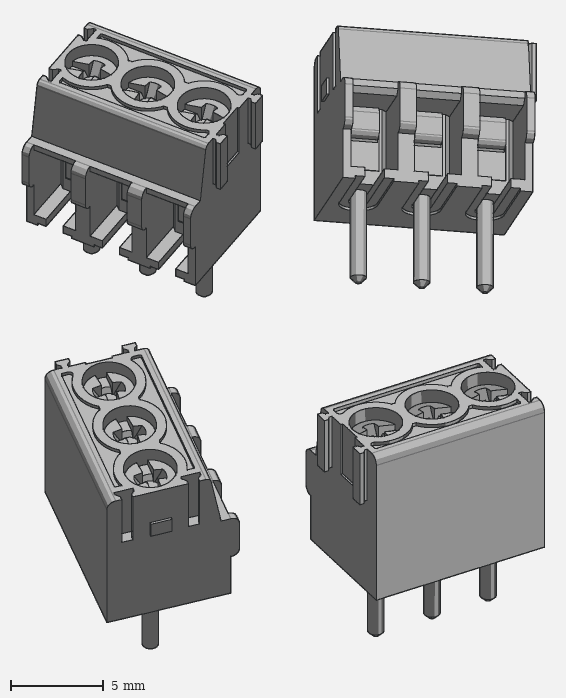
import cadquery as cq


POLE_COUNT = 3
WIDTH = 10.5
PITCH = WIDTH / POLE_COUNT
POLE_XS = [(i - (POLE_COUNT - 1) / 2) * PITCH for i in range(POLE_COUNT)]

HALF_WIDTH = WIDTH / 2
HEIGHT = 9.15
BACK_Y = 3.06
FRONT_Y = -3.99
TOP_FRONT_Y = -2.83
SHELF_Z = 5.69
SHELF_BACK_Y = -3.44
LIP_REACH = 0.5
LIP_FRONT_Y = FRONT_Y - LIP_REACH
LIP_BOTTOM_Z = 2.78
BACK_RADIUS = 0.5
FRONT_RADIUS = 0.3

ENTRY_WIDTH = 2.6
ENTRY_FLOOR_Z = 0.67
ENTRY_TOP_Z = 5.32
ENTRY_INNER_TOP_Z = 5.01
ENTRY_CHAMFER = ENTRY_TOP_Z - ENTRY_INNER_TOP_Z
ENTRY_BACK_Y = -1.36
ENTRY_BACK_WIDTH = 2.02
ENTRY_CORNER = (ENTRY_WIDTH - ENTRY_BACK_WIDTH) / 2

WINDOW_WIDTH = 1.69
WINDOW_BOTTOM_Z = 1.49
WINDOW_TOP_Z = 3.48
WINDOW_DEPTH = 0.05
GUARD_WIDTH = 1.53
GUARD_REACH = 0.4
GUARD_TOP_Z = 5.06
GUARD_BOTTOM_Z = 3.26
GUARD_TOE_HEIGHT = 0.14

PIN_DIAMETER = 0.9
PIN_LENGTH_BELOW = 4.5
PIN_BOTTOM_Z = -PIN_LENGTH_BELOW
PIN_TOP_Z = 1.23
PIN_CHAMFER = 0.3
PIN_SLOT_WIDTH = 1.06
FOOT_RECESS_WIDTH = 2.12
FOOT_RECESS_HEIGHT = 0.15

SCREW_HOLE_DIAMETER = 2.9
SCREW_DIAMETER = 2.84
SCREW_BOTTOM_Z = 6.82
SCREW_RIM_Z = 8.37
SCREW_CROWN_Z = 8.57
SCREW_CROWN_RADIUS = 0.55
DRIVE_SLOT_WIDTH = 0.63
DRIVE_SLOT_Z = 8.03
CROSS_WIDTH = 0.71
CROSS_TOP_RADIUS = 0.93
CROSS_FLOOR_RADIUS = 0.52
CROSS_FLOOR_Z = 7.67

RELIEF_DEPTH = 0.2
RELIEF_LEFT_X = -4.23
RELIEF_RIGHT_X = 4.86
RELIEF_INNER_Y = 1.13
RELIEF_OUTER_Y = 2.28
RELIEF_COLLAR_RADIUS = 1.99
RELIEF_CORNER_RADIUS = 0.1
RELIEF_TIP_RADIUS = 0.2

DOVETAIL_Y = 1.9
DOVETAIL_BOTTOM_Z = 5.87
GROOVE_DEPTH = 0.63
GROOVE_NECK_LENGTH = 0.22
GROOVE_FLARE_END = 0.46
GROOVE_NECK_WIDTH = 0.63
GROOVE_HEAD_WIDTH = 1.08
KEY_REACH = 0.57
KEY_NECK_LENGTH = 0.16
KEY_FLARE_END = 0.33
KEY_NECK_WIDTH = 0.37
KEY_HEAD_WIDTH = 0.76

NUB_REACH = 0.14
NUB_WIDTH = 1.21
NUB_BOTTOM_Z = 5.95
NUB_TOP_Z = 6.87
NOTCH_DEPTH = 0.12
NOTCH_WIDTH = 1.5


def box(x_range, y_range, z_range):
    """Box given by its lower and upper limits along each axis."""
    (x0, x1), (y0, y1), (z0, z1) = x_range, y_range, z_range
    return cq.Workplane("XY").box(x1 - x0, y1 - y0, z1 - z0, centered=False).translate((x0, y0, z0))


def centred(centre, width):
    """Limits of a width centred on a coordinate."""
    return (centre - width / 2, centre + width / 2)


def housing_block():
    """Side outline run along the whole row, with the lip still unbroken."""
    outline = (
        cq.Workplane("YZ", origin=(-HALF_WIDTH, 0, 0))
        .moveTo(BACK_Y, 0)
        .lineTo(BACK_Y, HEIGHT)
        .lineTo(TOP_FRONT_Y, HEIGHT)
        .lineTo(SHELF_BACK_Y, SHELF_Z)
        .lineTo(FRONT_Y, SHELF_Z)
        .radiusArc((LIP_FRONT_Y, SHELF_Z - LIP_REACH), -LIP_REACH)
        .lineTo(LIP_FRONT_Y, LIP_BOTTOM_Z + LIP_REACH)
        .radiusArc((FRONT_Y, LIP_BOTTOM_Z), -LIP_REACH)
        .lineTo(FRONT_Y, 0)
        .close()
    )
    block = outline.extrude(WIDTH)
    block = block.edges("|X and >Y and >Z").fillet(BACK_RADIUS)
    top_front_edge = cq.selectors.NearestToPointSelector((0, TOP_FRONT_Y, HEIGHT))
    return block.edges(top_front_edge).fillet(FRONT_RADIUS)


def wire_entry(x):
    """Gap between two lips, then a mouth with a chamfered ceiling and two deeper back corners."""
    gap = box(centred(x, ENTRY_WIDTH), (LIP_FRONT_Y, FRONT_Y), (0, SHELF_Z))
    mouth = (
        cq.Workplane("YZ", origin=(x - ENTRY_WIDTH / 2, 0, 0))
        .moveTo(FRONT_Y, ENTRY_FLOOR_Z)
        .lineTo(FRONT_Y, ENTRY_TOP_Z)
        .lineTo(FRONT_Y + ENTRY_CHAMFER, ENTRY_INNER_TOP_Z)
        .lineTo(ENTRY_BACK_Y, ENTRY_INNER_TOP_Z)
        .lineTo(ENTRY_BACK_Y, ENTRY_FLOOR_Z)
        .close()
        .extrude(ENTRY_WIDTH)
    )
    entry = gap.union(mouth)
    for side in (-1, 1):
        corner = (
            cq.Workplane("XY", origin=(x, ENTRY_BACK_Y, ENTRY_FLOOR_Z))
            .moveTo(side * ENTRY_BACK_WIDTH / 2, 0)
            .lineTo(side * ENTRY_WIDTH / 2, 0)
            .lineTo(side * ENTRY_WIDTH / 2, ENTRY_CORNER)
            .close()
            .extrude(ENTRY_INNER_TOP_Z - ENTRY_FLOOR_Z)
        )
        entry = entry.union(corner)
    window = box(
        centred(x, WINDOW_WIDTH),
        (ENTRY_BACK_Y, ENTRY_BACK_Y + WINDOW_DEPTH),
        (WINDOW_BOTTOM_Z, WINDOW_TOP_Z),
    )
    return entry.union(window)


def wire_guard(x):
    """Rounded bar under the entry ceiling, with a short toe that runs back into the window."""
    guard_front_y = ENTRY_BACK_Y - GUARD_REACH
    window_floor_y = ENTRY_BACK_Y + WINDOW_DEPTH
    return (
        cq.Workplane("YZ", origin=(x - GUARD_WIDTH / 2, 0, 0))
        .moveTo(window_floor_y, GUARD_TOP_Z)
        .lineTo(ENTRY_BACK_Y, GUARD_TOP_Z)
        .radiusArc((guard_front_y, GUARD_TOP_Z - GUARD_REACH), -GUARD_REACH)
        .lineTo(guard_front_y, GUARD_BOTTOM_Z + GUARD_REACH)
        .radiusArc((ENTRY_BACK_Y, GUARD_BOTTOM_Z), -GUARD_REACH)
        .lineTo(window_floor_y, GUARD_BOTTOM_Z - GUARD_TOE_HEIGHT)
        .close()
        .extrude(GUARD_WIDTH)
    )


def round_ended_slot(x, width, height):
    """Slot in the underside, from the front face to a round end about the pin axis."""
    straight = box(centred(x, width), (FRONT_Y, 0), (0, height))
    return straight.union(cq.Workplane("XY", origin=(x, 0, 0)).circle(width / 2).extrude(height))


def pin_openings(x):
    """Slot through the entry floor, wider foot recess and the hole that holds the pin."""
    slot = round_ended_slot(x, PIN_SLOT_WIDTH, ENTRY_FLOOR_Z)
    foot = round_ended_slot(x, FOOT_RECESS_WIDTH, FOOT_RECESS_HEIGHT)
    hole = cq.Workplane("XY", origin=(x, 0, 0)).circle(PIN_DIAMETER / 2).extrude(PIN_TOP_Z)
    return slot.union(foot).union(hole)


def screw_hole(x):
    depth = HEIGHT - SCREW_BOTTOM_Z
    return cq.Workplane("XY", origin=(x, 0, SCREW_BOTTOM_Z)).circle(SCREW_HOLE_DIAMETER / 2).extrude(depth)


def top_relief():
    """Relief on the +Y side of the screws, scalloped by a collar around each one."""
    bottom_z = HEIGHT - RELIEF_DEPTH
    relief = box((RELIEF_LEFT_X, RELIEF_RIGHT_X), (RELIEF_INNER_Y, RELIEF_OUTER_Y), (bottom_z, HEIGHT))
    for x in POLE_XS:
        collar = cq.Workplane("XY", origin=(x, 0, bottom_z)).circle(RELIEF_COLLAR_RADIUS)
        relief = relief.cut(collar.extrude(RELIEF_DEPTH))
    relief = relief.edges("|Z and >Y").fillet(RELIEF_CORNER_RADIUS)
    tip = relief.faces(">X").edges("|Z and <Y")
    return tip.fillet(RELIEF_TIP_RADIUS)


def dovetail(start_x, y, depth, neck_length, flare_end, neck_width, head_width):
    """Upright dovetail that starts at start_x and widens toward +X."""
    half_neck = neck_width / 2
    half_head = head_width / 2
    return (
        cq.Workplane("XY", origin=(start_x, y, DOVETAIL_BOTTOM_Z))
        .polyline([
            (0, -half_neck),
            (neck_length, -half_neck),
            (flare_end, -half_head),
            (depth, -half_head),
            (depth, half_head),
            (flare_end, half_head),
            (neck_length, half_neck),
            (0, half_neck),
        ])
        .close()
        .extrude(HEIGHT - DOVETAIL_BOTTOM_Z)
    )


def groove(y):
    return dovetail(
        -HALF_WIDTH,
        y,
        depth=GROOVE_DEPTH,
        neck_length=GROOVE_NECK_LENGTH,
        flare_end=GROOVE_FLARE_END,
        neck_width=GROOVE_NECK_WIDTH,
        head_width=GROOVE_HEAD_WIDTH,
    )


def key(y):
    return dovetail(
        HALF_WIDTH,
        y,
        depth=KEY_REACH,
        neck_length=KEY_NECK_LENGTH,
        flare_end=KEY_FLARE_END,
        neck_width=KEY_NECK_WIDTH,
        head_width=KEY_HEAD_WIDTH,
    )


def make_housing():
    housing = housing_block()
    for x in POLE_XS:
        housing = housing.cut(wire_entry(x)).union(wire_guard(x))
        housing = housing.cut(pin_openings(x)).cut(screw_hole(x))

    relief = top_relief()
    housing = housing.cut(relief).cut(relief.mirror("XZ"))

    for y in (-DOVETAIL_Y, DOVETAIL_Y):
        housing = housing.cut(groove(y)).union(key(y))

    nub = box((-HALF_WIDTH - NUB_REACH, -HALF_WIDTH), centred(0, NUB_WIDTH), (NUB_BOTTOM_Z, NUB_TOP_Z))
    notch = box((HALF_WIDTH - NOTCH_DEPTH, HALF_WIDTH), centred(0, NOTCH_WIDTH), (NUB_BOTTOM_Z, HEIGHT))
    return housing.union(nub).cut(notch)


def make_screw(x):
    """Conical head with a full-width slot and a tapered cross recess."""
    head = (
        cq.Workplane("XZ")
        .moveTo(0, SCREW_BOTTOM_Z)
        .lineTo(SCREW_DIAMETER / 2, SCREW_BOTTOM_Z)
        .lineTo(SCREW_DIAMETER / 2, SCREW_RIM_Z)
        .lineTo(SCREW_CROWN_RADIUS, SCREW_CROWN_Z)
        .lineTo(0, SCREW_CROWN_Z)
        .close()
        .revolve(360, (0, 0), (0, 1))
    )
    slot = box(centred(0, SCREW_DIAMETER), centred(0, DRIVE_SLOT_WIDTH), (DRIVE_SLOT_Z, SCREW_CROWN_Z))
    cone = (
        cq.Workplane("XY", origin=(0, 0, CROSS_FLOOR_Z))
        .circle(CROSS_FLOOR_RADIUS)
        .workplane(offset=SCREW_CROWN_Z - CROSS_FLOOR_Z)
        .circle(CROSS_TOP_RADIUS)
        .loft()
    )
    reach = 2 * CROSS_TOP_RADIUS
    cross_z = (CROSS_FLOOR_Z, SCREW_CROWN_Z)
    cross = box(centred(0, CROSS_WIDTH), centred(0, reach), cross_z)
    cross = cross.union(box(centred(0, reach), centred(0, DRIVE_SLOT_WIDTH), cross_z))
    return head.cut(slot).cut(cone.intersect(cross)).translate((x, 0, 0))


def make_pin(x):
    length = PIN_TOP_Z - PIN_BOTTOM_Z
    shaft = cq.Workplane("XY", origin=(x, 0, PIN_BOTTOM_Z)).circle(PIN_DIAMETER / 2).extrude(length)
    return shaft.faces("<Z").chamfer(PIN_CHAMFER)


housing = make_housing()
screws = [make_screw(x) for x in POLE_XS]
pins = [make_pin(x) for x in POLE_XS]

result = cq.Compound.makeCompound([
    housing.val(),
    *[screw.val() for screw in screws],
    *[pin.val() for pin in pins],
])